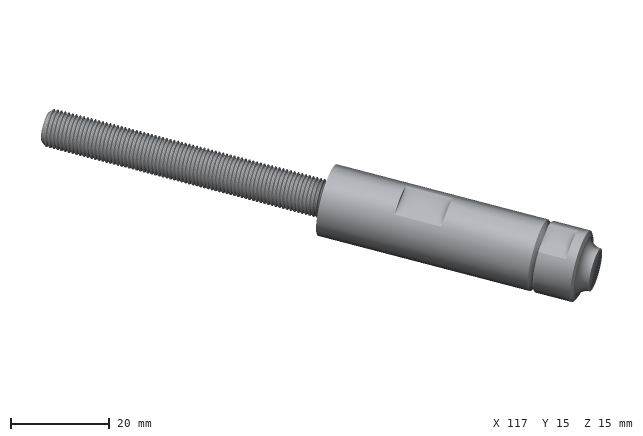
import cadquery as cq
import math

body_start = 60.0
head_start = 106.0
part_end = 117.0

stud_radius = 4.0
stud_chamfer = 1.0
thread_pitch = 0.8
thread_depth_ratio = 5 * math.sqrt(3) / 16
thread_depth = thread_depth_ratio * thread_pitch
crest_width = thread_pitch / 8
root_width = thread_pitch / 4
thread_phase = -22.0

body_radius = 7.5
body_chamfer = 1.0
head_edge_break = 0.2
head_chamfer_length = 0.5
head_chamfer_angle = 60.0
nose_radius = 4.5
nose_length = 2.5
nose_base_radius = 6.0

across_flats = 13.0
body_flat_start = 75.5
body_flat_length = 10.0
head_flat_length = 6.0


def make_threaded_rod(turns):
    """Rod along Z bounded by one helical band per turn, with a stepped helical end at each side.

    Every band is one pitch high, so its upper edge is the lower edge of the next band.
    """
    root_radius = stud_radius - thread_depth
    flank_width = (thread_pitch - crest_width - root_width) / 2
    crest_start = root_width + flank_width
    profile = [
        (root_radius, 0),
        (root_radius, root_width),
        (stud_radius, crest_start),
        (stud_radius, crest_start + crest_width),
        (root_radius, thread_pitch),
    ]

    def helix(radius, height):
        turn = cq.Wire.makeHelix(thread_pitch, thread_pitch, radius)
        return turn.translate(cq.Vector(0, 0, height))

    band = []
    for lower, upper in zip(profile, profile[1:]):
        band += cq.Face.makeRuledSurface(helix(*lower), helix(*upper)).Faces()

    axis = cq.Edge.makeLine(cq.Vector(0, 0, 0), cq.Vector(0, 0, thread_pitch))
    ramp = cq.Face.makeRuledSurface(helix(root_radius, 0).Edges()[0], axis)
    step_outline = [cq.Vector(radius, 0, height) for radius, height in profile]
    step_outline += [cq.Vector(0, 0, thread_pitch), cq.Vector(0, 0, 0)]
    step = cq.Face.makeFromWires(cq.Wire.makePolygon(step_outline, close=True))
    rod_end = [ramp, step]

    faces = rod_end + [face.translate(cq.Vector(0, 0, turns * thread_pitch)) for face in rod_end]
    for turn in range(turns):
        faces += [face.translate(cq.Vector(0, 0, turn * thread_pitch)) for face in band]
    return cq.Workplane(cq.Solid.makeSolid(cq.Shell.makeShell(faces)))


def make_stud():
    """Threaded rod trimmed to a chamfered tip, running one pitch into the body."""
    stud_end = body_start + thread_pitch
    spare_turns = 2
    turns = math.ceil(stud_end / thread_pitch) + 2 * spare_turns
    rod = make_threaded_rod(turns).rotate((0, 0, 0), (0, 1, 0), 90)
    rod = rod.rotate((0, 0, 0), (1, 0, 0), thread_phase)
    rod = rod.translate((-spare_turns * thread_pitch, 0, 0))

    clearance = 0.5
    tip_radius = stud_radius - stud_chamfer
    cone_length = stud_chamfer + clearance
    envelope = (
        cq.Workplane("XY")
        .lineTo(0, tip_radius)
        .lineTo(cone_length, tip_radius + cone_length)
        .lineTo(stud_end, tip_radius + cone_length)
        .lineTo(stud_end, 0)
        .close()
        .revolve(360, (0, 0, 0), (1, 0, 0))
    )
    return envelope.intersect(rod)


def make_body():
    """Turned body and head, ending in a concave nose that runs parallel to the axis at its tip."""
    head_chamfer_depth = head_chamfer_length * math.tan(math.radians(head_chamfer_angle))
    nose_start = part_end - nose_length
    nose_rise = nose_base_radius - nose_radius
    nose_arc_radius = (nose_length**2 + nose_rise**2) / (2 * nose_rise)
    nose_half_angle = math.asin(nose_length / nose_arc_radius) / 2
    nose_middle = (
        part_end - nose_arc_radius * math.sin(nose_half_angle),
        nose_radius + nose_arc_radius * (1 - math.cos(nose_half_angle)),
    )
    profile = (
        cq.Workplane("XY")
        .moveTo(body_start, 0)
        .lineTo(body_start, body_radius)
        .lineTo(head_start - body_chamfer, body_radius)
        .lineTo(head_start, body_radius - body_chamfer)
        .lineTo(head_start, body_radius - head_edge_break)
        .lineTo(head_start + head_edge_break, body_radius)
        .lineTo(nose_start - head_chamfer_length, body_radius)
        .lineTo(nose_start, body_radius - head_chamfer_depth)
        .lineTo(nose_start, nose_base_radius)
        .threePointArc(nose_middle, (part_end, nose_radius))
        .lineTo(part_end, 0)
        .close()
    )
    return profile.revolve(360, (0, 0, 0), (1, 0, 0))


def make_flat_pair(start, length):
    """Material removed from above and below the axis by one pair of wrench flats."""
    size = 2 * body_radius
    cutter = cq.Workplane("XY").box(length, size, size, centered=(False, True, False))
    upper = cutter.translate((start, 0, across_flats / 2))
    return upper.union(upper.mirror("XY"))


body = make_body()
body = body.cut(make_flat_pair(body_flat_start, body_flat_length))
body = body.cut(make_flat_pair(head_start, head_flat_length))
result = body.union(make_stud())